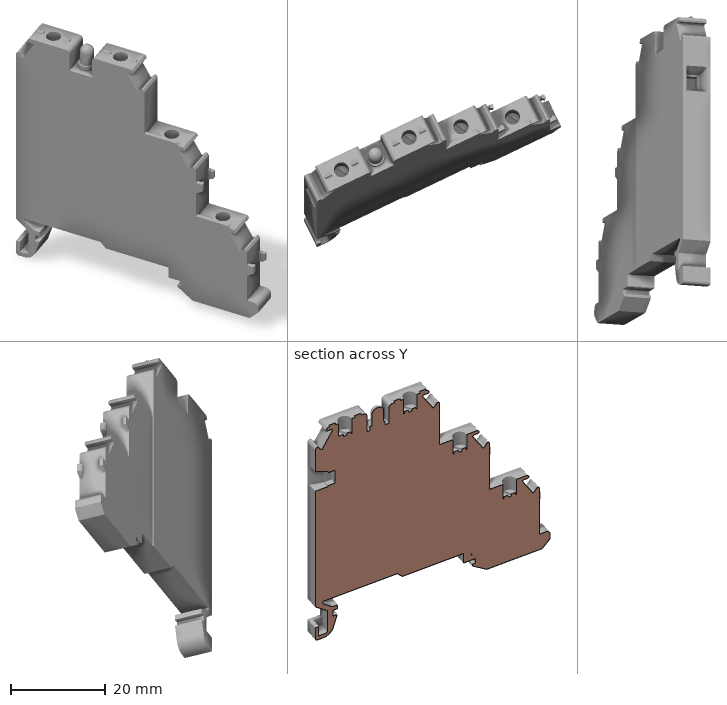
import cadquery as cq


length = 57.4
thickness = 6.2
height = 58.45
mid_y = thickness / 2
tier_thickness = 6.0

mark_height = 0.5
tower_top = height - mark_height
tower_length = 30.45
deck_edges = [tower_length, 42.65, 54.8]
tier_tops = [41.6, 24.0]

lamp_x = 15.25
notch_left = 12.7
notch_right = 18.0
notch_floor = 52.8
notch_round = 0.9
lamp_diameter = 3.0
lamp_collar_diameter = 3.8
lamp_collar_height = 1.1
lamp_dome_base = 56.8

screw_offset = 7.95
screw_pitch = 12.15
screw_hole_diameter = 3.2
screw_hole_depth = 3.5
screw_head_diameter = 3.0
screw_slot_width = 0.65
screw_head_height = 0.6
screw_slot_angle = 120

mark_offset = 3.1
mark_length = 1.6
mark_width = 0.8
mark_crest_width = 0.35
mark_flank_height = 0.4

rib_thickness = 0.8
rib_height = 0.5
rib_length = 8.0
lug_reach = 1.5
lug_drop = 8.3
lug_face_height = 1.8
lug_total_height = 2.75
lug_barb_start = 0.8
lug_barb_peak = 1.15
lug_barb = 0.35
lug_root = 0.35

entry_width = 4.6
entry_inner_width = 3.3
entry_floor = 41.55
entry_top = 46.95
entry_inner_top = 45.65
entry_depth = 3.05
clamp_width = 2.45
clamp_floor = 41.8
clamp_top = 45.25
clamp_depth = 1.75

foot_top = 6.45
foot_bottom = 2.05
foot_round = 1.1
foot_bevel_top = 4.05
foot_bevel_run = 2.0
foot_toe = 38.35
foot_toe_slope_run = 3.5
foot_toe_bottom = 4.5
foot_toe_top = 5.1
foot_slot_end = 39.1
foot_slot_top = 6.2
foot_shoulder = 36.1
foot_shoulder_bevel = 0.2
body_bottom = 10.1
body_step_bottom = 8.8
body_step = 20.05
body_step_run = 1.2

hook_wall = 0.95
hook_floor = 1.1
hook_cup_top = 3.7
hook_web = 0.7
hook_corner = 0.6
hook_stem = 3.0
hook_stem_top = 7.1
hook_shoulder = 9.4
hook_root = 2.0
hook_root_bottom = 9.5
hook_slope_end = (3.7, 8.2)
hook_nose = 5.55
hook_nose_top = 7.8
hook_nose_bottom = 6.6
hook_nose_round_end = 4.9
hook_slot_end = 4.45
hook_slot_bottom = 5.15
hook_heel = 5.5
hook_back_arc_start = (4.6, 2.35)
hook_back_arc_middle = (3.6, 0.65)
hook_back_arc_end = (1.75, 0)

groove_points = [
    (3.0, 0), (2.6, 0.65), (2.75, 1.0), (4.0, 1.0), (4.2, 1.2),
    (1.65, 5.5), (1.2, 5.15), (0.7, 4.4), (0.35, 4.4), (0, 4.9),
]


def marker_groove(edge, top, side):
    """Outline from the deck lip down to the outer edge; side is +1 for a right edge, -1 for a left edge."""
    return [(edge - side * inset, top - drop) for inset, drop in groove_points]


def extrude_y(sketch, start, end):
    """Extrude an XZ sketch from Y = start to Y = end."""
    return sketch.extrude(start - end).translate((0, start, 0))


def add_lines(outline, points):
    """Continue an outline with straight lines through the points."""
    for point in points:
        outline = outline.lineTo(*point)
    return outline


def add_tower_top(outline):
    """Tower top with the rounded lamp notch."""
    return (
        outline.lineTo(notch_left - notch_round, tower_top)
        .radiusArc((notch_left, tower_top - notch_round), notch_round)
        .lineTo(notch_left, notch_floor)
        .lineTo(notch_right, notch_floor)
        .lineTo(notch_right, tower_top - notch_round)
        .radiusArc((notch_right + notch_round, tower_top), notch_round)
    )


def add_foot(outline):
    """Foot, its rail catch and the stepped underside, from right to left."""
    outline = outline.lineTo(length - foot_round, foot_top)
    outline = outline.radiusArc((length, foot_top - foot_round), foot_round)
    return add_lines(outline, [
        (length, foot_bevel_top),
        (length - foot_bevel_run, foot_bottom),
        (foot_toe + foot_toe_slope_run, foot_bottom),
        (foot_toe, foot_toe_bottom),
        (foot_toe, foot_toe_top),
        (foot_slot_end, foot_toe_top),
        (foot_slot_end, foot_slot_top),
        (foot_shoulder + foot_shoulder_bevel, foot_slot_top),
        (foot_shoulder, foot_slot_top + foot_shoulder_bevel),
        (foot_shoulder, body_step_bottom),
        (body_step + body_step_run, body_step_bottom),
        (body_step, body_bottom),
        (hook_root, body_bottom),
    ])


def add_hook(outline):
    """Rail hook: nose, curved back, cup and stem, ending at the left face."""
    outline = add_lines(outline, [(hook_root, hook_root_bottom), hook_slope_end])
    outline = outline.tangentArcPoint((hook_nose_round_end, hook_nose_top), relative=False)
    outline = add_lines(outline, [
        (hook_nose, hook_nose_top),
        (hook_nose, hook_nose_bottom),
        (hook_slot_end, hook_nose_bottom),
        (hook_slot_end, hook_slot_bottom),
        (hook_heel, hook_slot_bottom),
        hook_back_arc_start,
    ])
    return (
        outline.threePointArc(hook_back_arc_middle, hook_back_arc_end)
        .lineTo(hook_corner, 0)
        .radiusArc((0, hook_corner), hook_corner)
        .lineTo(0, hook_cup_top)
        .lineTo(hook_stem, hook_cup_top)
        .lineTo(hook_stem, hook_stem_top)
        .lineTo(0, hook_shoulder)
    )


def housing():
    """Side outline of tower, stepped decks, foot and rail hook, drawn clockwise from the left lip."""
    left_groove = marker_groove(0, tower_top, -1)
    outline = cq.Workplane("XZ").moveTo(*left_groove[0])
    outline = add_tower_top(outline)
    deck_tops = [tower_top] + tier_tops
    floors_beyond = tier_tops + [foot_top]
    for edge, top, floor in zip(deck_edges, deck_tops, floors_beyond):
        outline = add_lines(outline, marker_groove(edge, top, 1) + [(edge, floor)])
    outline = add_foot(outline)
    outline = add_hook(outline)
    outline = add_lines(outline, reversed(left_groove[1:]))
    return extrude_y(outline.close(), 0, thickness)


def tier_relief():
    """Slice that thins the stepped decks at the back."""
    step = thickness - tier_thickness
    return cq.Workplane("XY").box(length, step, height, centered=False).translate(
        (tower_length, tier_thickness, 0)
    )


def hook_cup():
    """Space inside the hook, left closed by a web at the back."""
    cup = (
        cq.Workplane("XZ")
        .moveTo(hook_wall, hook_cup_top)
        .lineTo(hook_wall, hook_floor)
        .lineTo(hook_stem - hook_corner, hook_floor)
        .radiusArc((hook_stem, hook_floor + hook_corner), -hook_corner)
        .lineTo(hook_stem, hook_cup_top)
        .close()
    )
    return extrude_y(cup, 0, thickness - hook_web)


def deck_rib(wall, top):
    """Low rib with a bevelled end along the front edge of a stepped deck."""
    rib = cq.Workplane("XZ").polyline([
        (wall - rib_height, top - rib_height),
        (wall - rib_height, top + rib_height),
        (wall + rib_length - rib_height, top + rib_height),
        (wall + rib_length, top),
        (wall + rib_length, top - rib_height),
    ])
    return extrude_y(rib.close(), 0, rib_thickness)


def marker_lugs(wall, top):
    """Pair of barbed lugs on the end face below a stepped deck."""
    end = wall + lug_reach
    front_plan = [
        (wall - lug_root, 0),
        (end, 0),
        (end, lug_barb_start),
        (end - lug_barb, lug_barb_peak),
        (end - 2 * lug_barb, lug_barb_start),
        (wall - lug_root, lug_barb_start),
    ]
    back_plan = [(x, thickness - y) for x, y in front_plan]
    lug_top = top - lug_drop
    side = cq.Workplane("XZ").polyline([
        (wall - lug_root, lug_top),
        (end, lug_top),
        (end, lug_top - lug_face_height),
        (wall, lug_top - lug_total_height),
        (wall - lug_root, lug_top - lug_total_height),
    ])
    slab = extrude_y(side.close(), 0, tier_thickness)
    base = cq.Workplane("XY").workplane(offset=lug_top - lug_total_height)
    pair = base.polyline(front_plan).close().extrude(lug_total_height)
    pair = pair.union(base.polyline(back_plan).close().extrude(lug_total_height))
    return pair.intersect(slab)


def screw_recess(x, top):
    """Screwdriver hole, with clearance around a slotted screw head standing on its floor."""
    hole = cq.Workplane("XY").circle(screw_hole_diameter / 2)
    hole = hole.extrude(screw_head_height + screw_hole_depth + rib_height)
    slot = (
        cq.Workplane("XY")
        .rect(screw_hole_diameter, screw_slot_width)
        .extrude(screw_head_height)
        .rotate((0, 0, 0), (0, 0, 1), screw_slot_angle)
    )
    head = cq.Workplane("XY").circle(screw_head_diameter / 2).extrude(screw_head_height).cut(slot)
    return hole.cut(head).translate((x, mid_y, top - screw_hole_depth - screw_head_height))


def deck_mark(x):
    """Small ridge with a rounded crest lying along X on the tower deck."""
    half = mark_width / 2
    half_crest = mark_crest_width / 2
    crest_edge = tower_top + mark_flank_height
    return (
        cq.Workplane("YZ")
        .moveTo(mid_y - half, tower_top)
        .lineTo(mid_y + half, tower_top)
        .lineTo(mid_y + half_crest, crest_edge)
        .threePointArc((mid_y, height), (mid_y - half_crest, crest_edge))
        .close()
        .extrude(mark_length)
        .translate((x - mark_length / 2, 0, 0))
    )


def lamp():
    """Domed lamp on a collar, standing in the tower notch."""
    radius = lamp_diameter / 2
    collar = cq.Workplane("XY").circle(lamp_collar_diameter / 2).extrude(lamp_collar_height)
    stem = cq.Workplane("XY").circle(radius).extrude(lamp_dome_base - notch_floor)
    dome = cq.Workplane("XY").sphere(radius).translate((0, 0, lamp_dome_base - notch_floor))
    return collar.union(stem).union(dome).translate((lamp_x, mid_y, notch_floor))


def wire_entry():
    """Funnel in the left face narrowing to a clamp opening."""
    def mouth(width, top):
        half = width / 2
        return [
            (mid_y - half, entry_floor), (mid_y + half, entry_floor),
            (mid_y + half, top), (mid_y - half, top),
        ]
    funnel = (
        cq.Workplane("YZ")
        .polyline(mouth(entry_width, entry_top)).close()
        .workplane(offset=entry_depth)
        .polyline(mouth(entry_inner_width, entry_inner_top)).close()
        .loft(ruled=True)
    )
    clamp = cq.Workplane("XY").box(
        clamp_depth, clamp_width, clamp_top - clamp_floor, centered=(False, True, False)
    )
    return funnel.union(clamp.translate((entry_depth, mid_y, clamp_floor)))


result = housing().cut(tier_relief()).cut(hook_cup()).cut(wire_entry()).union(lamp())

for side in (-1, 1):
    screw_x = lamp_x + side * screw_offset
    for mark_side in (-1, 1):
        result = result.union(deck_mark(screw_x + mark_side * mark_offset))
    result = result.cut(screw_recess(screw_x, tower_top))

for tier, tier_top in enumerate(tier_tops):
    result = result.union(deck_rib(deck_edges[tier], tier_top))
    result = result.union(marker_lugs(deck_edges[tier + 1], tier_top))
    tier_screw_x = lamp_x + screw_offset + (tier + 1) * screw_pitch
    result = result.cut(screw_recess(tier_screw_x, tier_top))